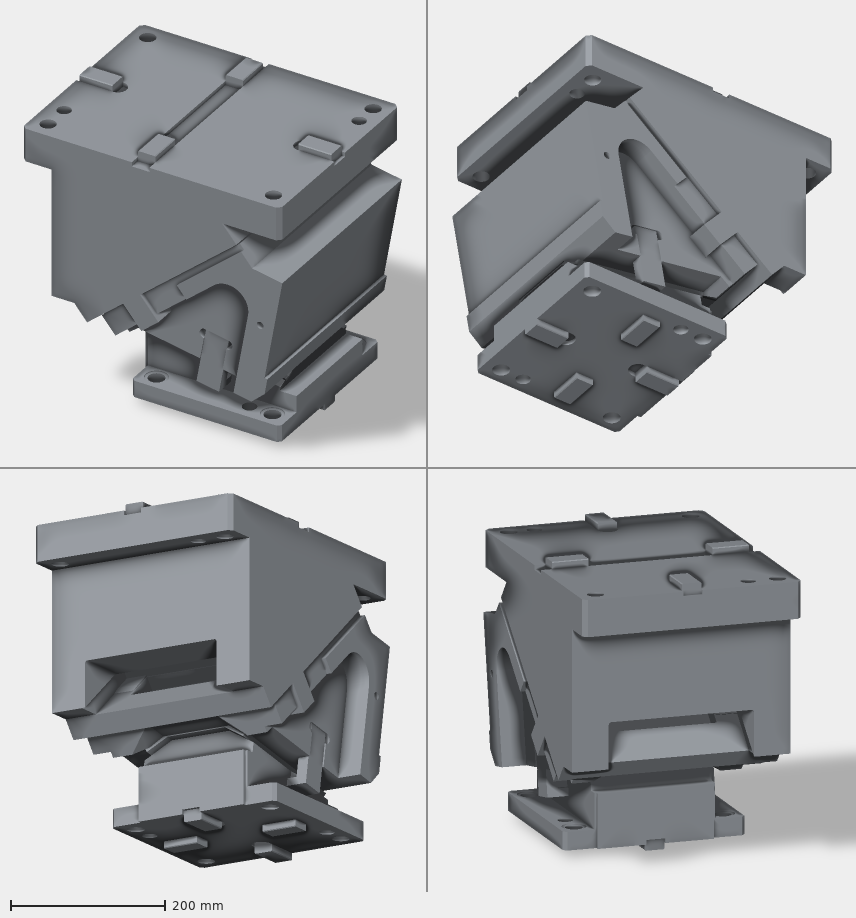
import cadquery as cq
import math


full_width = 300.0
half_width = full_width / 2
key_length = 50.0
key_height = 9.5
key_chamfer = 1.0
slot_width = 26.5
key_width = slot_width
slot_depth = 6.5
hole_diameter = 22.5
dowel_diameter = 20.0
hole_edge_distance = 25.0
far_away = 394.0

ramp_angle = 40.0
ramp_x = 99.0
ramp_z = 109.0
ramp_length = 295.0

slide_angle = 10.0
slide_x = 156.0
slide_z = 101.3
frame_turn = math.radians(ramp_angle + slide_angle)

plate_length = 390.5
plate_thickness = 49.5
plate_top = 374.0
plate_bottom = plate_top - plate_thickness
plate_chamfer = 6.0
body_left = 45.5
body_bottom = 132.5
cross_slot_x = 179.7
end_slot_length = 68.0
plate_key_inset = 4.7
cross_key_y = 110.0
plate_hole_y = 125.0
left_dowel_y = -84.7
right_dowel_y = 90.0
window_top = 195.5
window_half_width = 99.7
window_fillet = 3.5
window_floor = 30.0
track_top = 52.5
track_half_width = 104.5
track_end = 102.5
recess_start = 48.0
recess_end = 100.5
recess_depth = 19.7
recess_half_width = 73.5
shelf_start = 60.0
shelf_lead = 15.0
shelf_step = 0.8
shelf_height = 2.0
shelf_inner = 74.5
clamp_start = 71.0
clamp_end = 104.5
clamp_depth = 43.0

ramp_gap = 2.0
nose_start = 22.0
nose_depth = 42.0
wing_half_width = 143.0
wing_bottom = 33.5
panel_start = 167.5
panel_top = 11.5
core_half_width = 116.5
pocket_end = 166.7
pocket_fillet = 31.5
slider_right = 206.5
slider_top = 200.0
lip_right = 211.0
lip_top = 45.0
lip_bottom = 21.0
slider_chamfer_start = 194.5
side_hole_along = 186.5
side_hole_above = 120.5
side_hole_diameter = 10.2
side_hole_depth = 19.7
drill_point_angle = 118.0

roof_angle = 30.0
roof_slope = math.tan(math.radians(roof_angle))
groove_mouth = 86.5
groove_mouth_depth = 11.5
groove_edge = 69.0
groove_top = 12.5
groove_slope = groove_mouth_depth / (groove_mouth - groove_edge)
groove_flat = groove_edge - groove_top / groove_slope
liner_shoulder = 77.0
liner_foot = 73.0
liner_drop = 6.0
liner_length = 202.0

hook_centre = 112.5
hook_width = 34.5
hook_start = hook_centre - hook_width / 2
hook_end = hook_centre + hook_width / 2
hook_top = 47.3
hook_bottom = -38.0
hook_outer = 114.5
hook_inner = 99.5
hook_toe = 85.5
hook_toe_thickness = 11.0
hook_toe_top = hook_bottom + hook_toe_thickness
relief_length = 50.0
relief_height = 14.0

driver_left = 145.0
driver_nose_half_width = 79.5
driver_step = 150.0
driver_right = 375.2
driver_half_width = 82.8
left_shoulder = 73.7
right_shoulder = 49.3
roof_start = 11.5
roof_end = 200.0
ridge_half_width = 43.5
lug_start = 106.5
lug_end = 122.0
lug_outer = 96.0
foot_half_width = 124.5
foot_height = 25.0
foot_chamfer = 4.7
foot_hole_y = 102.0
foot_hole_diameter = 23.3
foot_counterbore_diameter = 32.5
foot_counterbore_depth = 1.0
foot_dowel_spacing = 34.5
driver_cross_key_x = 254.5
driver_cross_key_y = 75.0


def frame_point(x0, z0, angle, along, above):
    """XZ position of a point given in a frame whose first axis is tilted by angle."""
    turn = math.radians(angle)
    return (
        x0 + along * math.cos(turn) - above * math.sin(turn),
        z0 + along * math.sin(turn) + above * math.cos(turn),
    )


def on_ramp(along, below):
    return frame_point(ramp_x, ramp_z, ramp_angle, along, -below)


def on_slide(along, above):
    return frame_point(slide_x, slide_z, -slide_angle, along, above)


def ramp_coordinates(point):
    """Distances of an XZ point along the ramp and below it."""
    tilt = math.radians(ramp_angle)
    dx = point[0] - ramp_x
    dz = point[1] - ramp_z
    return (
        dx * math.cos(tilt) + dz * math.sin(tilt),
        dx * math.sin(tilt) - dz * math.cos(tilt),
    )


def side_prism(points, y_min, y_max):
    """Prism of an XZ outline between two Y positions."""
    return cq.Workplane("XZ", origin=(0, y_min, 0)).polyline(points).close().extrude(y_min - y_max)


def both_sides(shape):
    return shape.union(shape.mirror("XZ"))


def slide_prism(half_section, start, end):
    """Prism along the slide; the half section runs from the outside in to the mid-plane."""
    turn = math.radians(slide_angle)
    x, z = on_slide(start, 0)
    plane = cq.Plane(
        origin=(x, 0, z), xDir=(0, 1, 0), normal=(math.cos(turn), 0, -math.sin(turn))
    )
    mirrored = [(-y, above) for y, above in reversed(half_section)]
    return cq.Workplane(plane).polyline(half_section + mirrored).close().extrude(end - start)


def ramp_box(start, end, top, bottom, y_min, y_max):
    corners = [on_ramp(start, top), on_ramp(end, top), on_ramp(end, bottom), on_ramp(start, bottom)]
    return side_prism(corners, y_min, y_max)


def slide_box(start, end, bottom, top, y_min, y_max):
    corners = [
        on_slide(start, bottom),
        on_slide(end, bottom),
        on_slide(end, top),
        on_slide(start, top),
    ]
    return side_prism(corners, y_min, y_max)


def upright_key(x, y, z_face, along_x, direction):
    """Key standing out of a face at z_face, rooted at slot depth; direction is +1 up or -1 down."""
    height = key_height + slot_depth
    key = cq.Workplane("XY", origin=(0, 0, -slot_depth)).rect(key_length, key_width).extrude(height)
    key = key.faces(">Z").edges("|X").chamfer(key_chamfer)
    if not along_x:
        key = key.rotate((0, 0, 0), (0, 0, 1), 90)
    if direction < 0:
        key = key.mirror("XY")
    return key.translate((x, y, z_face))


def end_slot(x_open, x_closed, z_face, direction):
    """Slot open at x_open with a round end at x_closed."""
    inward = math.copysign(1, x_closed - x_open)
    centre = x_closed - inward * slot_width / 2
    depth = -direction * slot_depth
    straight = (
        cq.Workplane("XY", origin=((x_open + centre) / 2, 0, z_face))
        .rect(abs(centre - x_open), slot_width)
        .extrude(depth)
    )
    rounded = cq.Workplane("XY", origin=(centre, 0, z_face)).circle(slot_width / 2).extrude(depth)
    return straight.union(rounded)


def holder_block():
    plate = (
        cq.Workplane("XY", origin=(plate_length / 2, 0, plate_bottom))
        .rect(plate_length, full_width)
        .extrude(plate_thickness)
        .edges("|Z")
        .chamfer(plate_chamfer)
    )
    ramp_foot = on_ramp(0, 0)
    ramp_head = on_ramp(ramp_length, 0)
    end_face_run = math.tan(math.radians(ramp_angle))
    outline = [
        (body_left, plate_bottom),
        (body_left, body_bottom),
        (ramp_foot[0] - (body_bottom - ramp_foot[1]) * end_face_run, body_bottom),
        ramp_foot,
        ramp_head,
        (ramp_head[0] - (plate_bottom - ramp_head[1]) * end_face_run, plate_bottom),
    ]
    return plate.union(side_prism(outline, -half_width, half_width))


def holder_clamp():
    """L-shaped clamp that reaches around the slider wing on one side."""
    leg = ramp_box(clamp_start, clamp_end, 0, clamp_depth, wing_half_width, half_width)
    toe = ramp_box(clamp_start, clamp_end, wing_bottom, clamp_depth, core_half_width, half_width)
    return leg.union(toe)


def holder_window():
    """Wedge-shaped opening in the left wall and the wider track along its sloping floor."""
    opening = (
        cq.Workplane("YZ", origin=(body_left, 0, (window_top + body_bottom) / 2))
        .rect(2 * window_half_width, window_top - body_bottom)
        .extrude(plate_length / 2)
        .edges("|X and >Z")
        .fillet(window_fillet)
    )
    below_floor = ramp_box(0, plate_length, -window_floor, 0, -half_width, half_width)
    track = ramp_box(
        -ramp_length, track_end, -track_top, -window_floor, -track_half_width, track_half_width
    )
    return opening.cut(below_floor).union(track)


def window_recess():
    """Central recess sunk into the window floor."""
    bottom = recess_depth - window_floor
    return ramp_box(
        recess_start, recess_end, -window_floor, bottom, -recess_half_width, recess_half_width
    )


def window_shelf():
    """Slightly raised part of the window floor beside the recess, on one side."""
    outline = [
        on_ramp(shelf_start, -window_floor),
        on_ramp(shelf_start, -window_floor - shelf_step),
        on_ramp(shelf_start + shelf_lead, -window_floor - shelf_height),
        on_ramp(track_end, -window_floor - shelf_height),
        on_ramp(track_end, -window_floor),
    ]
    return side_prism(outline, shelf_inner, track_half_width)


def plate_holes():
    right = plate_length - hole_edge_distance
    bolts = [(x, y) for x in (hole_edge_distance, right) for y in (-plate_hole_y, plate_hole_y)]
    dowels = [(hole_edge_distance, left_dowel_y), (right, right_dowel_y)]
    top = cq.Workplane("XY", origin=(0, 0, plate_top))
    holes = top.pushPoints(bolts).circle(hole_diameter / 2).extrude(-plate_thickness)
    return holes.union(top.pushPoints(dowels).circle(dowel_diameter / 2).extrude(-plate_thickness))


def make_holder():
    holder = holder_block().cut(holder_window()).cut(window_recess())
    holder = holder.union(both_sides(window_shelf())).union(both_sides(holder_clamp()))
    holder = holder.cut(plate_holes())
    cross_slot = (
        cq.Workplane("XY", origin=(cross_slot_x, 0, plate_top))
        .rect(slot_width, full_width)
        .extrude(-slot_depth)
    )
    holder = holder.cut(cross_slot)
    holder = holder.cut(end_slot(0, end_slot_length, plate_top, 1))
    holder = holder.cut(end_slot(plate_length, plate_length - end_slot_length, plate_top, 1))
    key_inset = plate_key_inset + key_length / 2
    for x in (key_inset, plate_length - key_inset):
        holder = holder.union(upright_key(x, 0, plate_top, True, 1))
    for y in (-cross_key_y, cross_key_y):
        holder = holder.union(upright_key(cross_slot_x, y, plate_top, False, 1))
    return holder


def slider_block():
    along_ramp = ramp_coordinates(on_slide(0, slider_top))[0]
    shoulder = (ramp_length - along_ramp) / math.cos(frame_turn)
    outline = [
        on_ramp(nose_start, ramp_gap),
        on_ramp(nose_start, nose_depth),
        on_slide(0, 0),
        on_slide(slider_chamfer_start, 0),
        on_slide(lip_right, lip_bottom),
        on_slide(lip_right, lip_top),
        on_slide(slider_right, lip_top),
        on_slide(slider_right, slider_top),
        on_slide(shoulder, slider_top),
        on_ramp(ramp_length, ramp_gap),
    ]
    return side_prism(outline, -half_width, half_width)


def wing_relief():
    """Material removed beside the wing, on one side."""
    lower = ramp_box(0, panel_start, 0, wing_bottom, wing_half_width, half_width)
    upper = ramp_box(panel_start, ramp_length, 0, panel_top, wing_half_width, half_width)
    return lower.union(upper)


def side_pocket():
    """Deep pocket under the wing, on one side."""
    below_ramp = ramp_coordinates(on_slide(pocket_end, 0))[1]
    corner_height = (below_ramp - wing_bottom) / math.cos(frame_turn)
    corner = on_slide(pocket_end, corner_height)
    outline = [
        on_ramp(0, wing_bottom),
        on_ramp(0, 2 * nose_depth),
        on_slide(0, hook_bottom),
        on_slide(pocket_end, hook_bottom),
        corner,
    ]
    pocket = side_prism(outline, core_half_width, half_width)
    middle = (core_half_width + half_width) / 2
    near_corner = cq.selectors.NearestToPointSelector((corner[0], middle, corner[1]))
    return pocket.edges("|Y").edges(near_corner).fillet(pocket_fillet)


def roof_groove():
    section = [
        (groove_mouth, -far_away),
        (groove_mouth, -groove_mouth_depth),
        (groove_flat, groove_top),
    ]
    return slide_prism(section, -far_away, far_away)


def roof_height(y):
    """Height of the driver roof slope above the slide plane."""
    return (liner_foot - y) * roof_slope - liner_drop


def roof_liner():
    """Sloped wear strip that fills the groove down to the driver roof, on both sides."""
    section = [
        (liner_foot, -liner_drop),
        (liner_shoulder, 0),
        (groove_edge, 0),
        (groove_flat, groove_top),
    ]
    return slide_prism(section, 0, liner_length).cut(roof_space())


def roof_space():
    """Space under the driver roof planes, over the length of the liner."""
    section = [
        (lug_outer, -far_away),
        (lug_outer, roof_height(lug_outer)),
        (ridge_half_width, roof_height(ridge_half_width)),
    ]
    return slide_prism(section, 0, liner_length)


def hook():
    plate = slide_box(hook_start, hook_end, hook_bottom, hook_top, hook_inner, hook_outer)
    toe = slide_box(hook_start, hook_end, hook_bottom, hook_toe_top, hook_toe, hook_outer)
    return plate.union(toe)


def hook_recess():
    """Channel and round-ended relief that the hook is seated in."""
    channel = slide_box(hook_start, hook_end, hook_bottom, hook_top, hook_inner, half_width)
    radius = relief_height / 2
    straight = relief_length / 2 - radius
    bottom = hook_top - relief_height
    relief = slide_box(
        hook_centre - straight, hook_centre + straight, bottom, hook_top, hook_inner, half_width
    )
    for side in (-1, 1):
        x, z = on_slide(hook_centre + side * straight, hook_top - radius)
        round_end = (
            cq.Workplane("XZ", origin=(x, hook_inner, z))
            .circle(radius)
            .extrude(hook_inner - half_width)
        )
        relief = relief.union(round_end)
    return channel.union(relief)


def side_hole():
    """Blind drilled hole with a conical end, on one side."""
    x, z = on_slide(side_hole_along, side_hole_above)
    mouth = cq.Vector(x, half_width, z)
    inward = cq.Vector(0, -1, 0)
    radius = side_hole_diameter / 2
    bore = cq.Solid.makeCylinder(radius, side_hole_depth, mouth, inward)
    tip_length = radius / math.tan(math.radians(drill_point_angle / 2))
    tip = cq.Solid.makeCone(radius, 0, tip_length, mouth + inward * side_hole_depth, inward)
    return cq.Workplane(bore).union(cq.Workplane(tip))


def make_slider():
    slider = slider_block().cut(both_sides(wing_relief())).cut(both_sides(side_pocket()))
    slider = slider.cut(roof_groove()).union(roof_liner())
    slider = slider.cut(both_sides(side_hole()))
    return slider.cut(both_sides(hook_recess())).union(both_sides(hook()))


def driver_block(x_min, x_max, half, height):
    return (
        cq.Workplane("XY", origin=((x_min + x_max) / 2, 0, 0))
        .rect(x_max - x_min, 2 * half)
        .extrude(height)
    )


def driver_roof():
    """Ridged top that slopes down the slide, trimmed level with the underside of the driver."""
    section = [
        (driver_half_width, -far_away),
        (driver_half_width, roof_height(driver_half_width)),
        (ridge_half_width, roof_height(ridge_half_width)),
    ]
    return slide_prism(section, roof_start, roof_end).intersect(
        driver_block(driver_step, driver_right, driver_half_width, plate_bottom)
    )


def driver_lugs():
    """Stops on both sides that the slider hooks pull against."""
    section = [
        (lug_outer, hook_toe_top),
        (lug_outer, roof_height(lug_outer)),
        (ridge_half_width, roof_height(ridge_half_width)),
    ]
    return slide_prism(section, lug_start, lug_end)


def foot_holes():
    first = driver_step + hole_edge_distance
    last = driver_right - hole_edge_distance
    bolts = [(x, y) for x in (first, last) for y in (-foot_hole_y, foot_hole_y)]
    dowels = [
        (first + foot_dowel_spacing, foot_hole_y),
        (last - foot_dowel_spacing, -foot_hole_y),
    ]
    top = cq.Workplane("XY", origin=(0, 0, foot_height))
    holes = top.pushPoints(bolts).circle(foot_hole_diameter / 2).extrude(-foot_height)
    recesses = top.pushPoints(bolts).circle(foot_counterbore_diameter / 2)
    holes = holes.union(recesses.extrude(-foot_counterbore_depth))
    return holes.union(top.pushPoints(dowels).circle(dowel_diameter / 2).extrude(-foot_height))


def make_driver():
    foot = driver_block(driver_step, driver_right, foot_half_width, foot_height)
    foot = foot.edges("|Z").chamfer(foot_chamfer)
    nose = driver_block(driver_left, driver_step, driver_nose_half_width, left_shoulder)
    left_x = on_slide(roof_start, 0)[0]
    left = driver_block(driver_step, left_x, driver_half_width, left_shoulder)
    right = driver_block(left_x, driver_right, driver_half_width, right_shoulder)
    driver = foot.union(nose).union(left).union(right)
    driver = driver.union(driver_roof()).union(driver_lugs()).cut(foot_holes())
    driver = driver.cut(end_slot(driver_left, driver_step + end_slot_length, 0, -1))
    driver = driver.cut(end_slot(driver_right, driver_right - end_slot_length, 0, -1))
    for x in (driver_step + key_length / 2, driver_right - key_length / 2):
        driver = driver.union(upright_key(x, 0, 0, True, -1))
    for y in (-driver_cross_key_y, driver_cross_key_y):
        driver = driver.union(upright_key(driver_cross_key_x, y, 0, False, -1))
    return driver


holder = make_holder()
slider = make_slider()
driver = make_driver()

result = cq.Compound.makeCompound([body.solids().val() for body in (holder, slider, driver)])